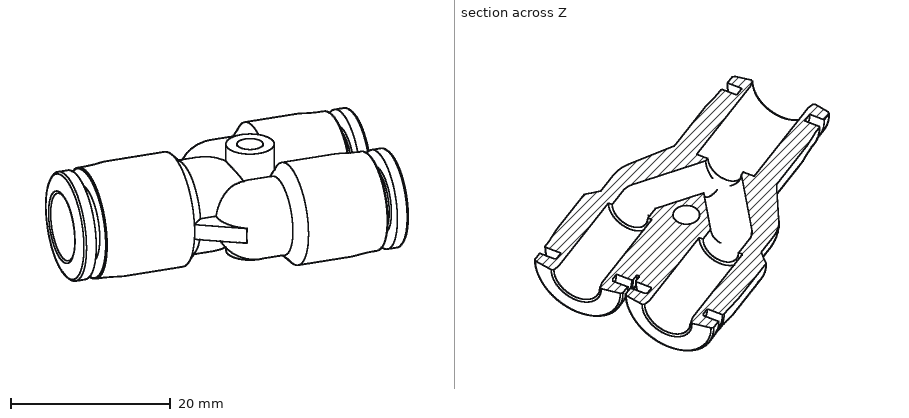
import cadquery as cq
import math

LENGTH = 42.05
HEIGHT = 14.6
OUTLET_OFFSET = 6.48

INLET_RADIUS = HEIGHT / 2
INLET_COLLAR_RADIUS = 7.05
INLET_COLLAR_START = 3.25
INLET_TAPER_START = 4.4
INLET_TAPER_END = 7.02
INLET_SHOULDER = 15.0
INLET_STEM_RADIUS = 5.97
INLET_DOME_CENTER = 19.25

OUTLET_RADIUS = 6.5
OUTLET_COLLAR_RADIUS = 6.3
OUTLET_COLLAR_START = 38.85
OUTLET_TAPER_START = 37.75
OUTLET_TAPER_END = 35.32
OUTLET_SHOULDER = 28.1
OUTLET_STEM_RADIUS = 5.0
OUTLET_DOME_CENTER = 23.3

COLLAR_CHAMFER = 0.147

FLANGE_BACK = 1.98
FLANGE_CROWN = 0.4
FLANGE_CHAMFER = 0.25
INLET_FLANGE_RADIUS = 6.95
INLET_NECK_RADIUS = 4.88
OUTLET_FLANGE_RADIUS = 6.3
OUTLET_NECK_RADIUS = 4.0
OUTLET_NECK_CHAMFER = 0.2

INLET_BORE_RADIUS = 4.08
OUTLET_BORE_RADIUS = 3.05
MOUTH_WIDENING = 0.5
MOUTH_LEAD_WIDENING = 0.2
MOUTH_CHAMFER_DEPTH = 0.15
MOUTH_LEAD_DEPTH = 1.0
PASSAGE_RADIUS = 2.52
PASSAGE_FORK = 16.4

BOSS_CENTER = 25.25
BOSS_RADIUS = 3.03
BOSS_HOLE_RADIUS = 1.65
RIB_THICKNESS = 2.0
WEB_WIDTH = 1.7


def revolve_about_y(profile):
    """Full turn of an XY outline about the Y axis."""
    return profile.close().revolve(360, (0, 0, 0), (0, 1, 0))


def to_outlet(shape, side):
    """Turn a shape built from a mouth at Y = 0 so its mouth is an outlet mouth."""
    return shape.rotate((0, 0, 0), (0, 0, 1), 180).translate((side * OUTLET_OFFSET, LENGTH, 0))


def ball(radius, center):
    """Sphere about a point."""
    return cq.Workplane("XY").sphere(radius).translate(center)


def cylinder_between(start, end, radius):
    """Round bar with its axis running from start to end."""
    axis = cq.Vector(*end) - cq.Vector(*start)
    return cq.Workplane(cq.Solid.makeCylinder(radius, axis.Length, cq.Vector(*start), axis))


def release_ring(flange_radius, neck_radius, bore_radius, neck_end, neck_chamfer=0):
    """Crowned flange on a neck; the mouth is at Y = 0."""
    lip_radius = bore_radius + MOUTH_WIDENING
    profile = (
        cq.Workplane("XY")
        .moveTo(0, 0)
        .lineTo(lip_radius, 0)
        .lineTo(flange_radius - FLANGE_CHAMFER, FLANGE_CROWN)
        .lineTo(flange_radius, FLANGE_CROWN + FLANGE_CHAMFER)
        .lineTo(flange_radius, FLANGE_BACK)
        .lineTo(neck_radius + neck_chamfer, FLANGE_BACK)
    )
    if neck_chamfer:
        profile = profile.lineTo(neck_radius, FLANGE_BACK + neck_chamfer)
    profile = profile.lineTo(neck_radius, neck_end).lineTo(0, neck_end)
    return revolve_about_y(profile)


def socket(bore_radius, depth):
    """Tube bore with a chamfered mouth and a slight lead-in taper; the mouth is at Y = 0."""
    profile = (
        cq.Workplane("XY")
        .moveTo(0, 0)
        .lineTo(bore_radius + MOUTH_WIDENING, 0)
        .lineTo(bore_radius + MOUTH_LEAD_WIDENING, MOUTH_CHAMFER_DEPTH)
        .lineTo(bore_radius, MOUTH_LEAD_DEPTH)
        .lineTo(bore_radius, depth)
        .lineTo(0, depth)
    )
    return revolve_about_y(profile)


def inlet_body():
    """Inlet barrel with a narrowed collar end and a domed stem."""
    shoulder_end = INLET_SHOULDER + INLET_RADIUS - INLET_STEM_RADIUS
    profile = (
        cq.Workplane("XY")
        .moveTo(0, INLET_COLLAR_START)
        .lineTo(INLET_COLLAR_RADIUS - COLLAR_CHAMFER, INLET_COLLAR_START)
        .lineTo(INLET_COLLAR_RADIUS, INLET_COLLAR_START + COLLAR_CHAMFER)
        .lineTo(INLET_COLLAR_RADIUS, INLET_TAPER_START)
        .lineTo(INLET_RADIUS, INLET_TAPER_END)
        .lineTo(INLET_RADIUS, INLET_SHOULDER)
        .lineTo(INLET_STEM_RADIUS, shoulder_end)
        .lineTo(INLET_STEM_RADIUS, INLET_DOME_CENTER)
        .radiusArc((0, INLET_DOME_CENTER + INLET_STEM_RADIUS), -INLET_STEM_RADIUS)
    )
    return revolve_about_y(profile)


def outlet_body(side):
    """Outlet barrel with a narrowed collar end and a domed stem."""
    shoulder_end = OUTLET_SHOULDER - (OUTLET_RADIUS - OUTLET_STEM_RADIUS)
    profile = (
        cq.Workplane("XY")
        .moveTo(0, OUTLET_DOME_CENTER - OUTLET_STEM_RADIUS)
        .radiusArc((OUTLET_STEM_RADIUS, OUTLET_DOME_CENTER), -OUTLET_STEM_RADIUS)
        .lineTo(OUTLET_STEM_RADIUS, shoulder_end)
        .lineTo(OUTLET_RADIUS, OUTLET_SHOULDER)
        .lineTo(OUTLET_RADIUS, OUTLET_TAPER_END)
        .lineTo(OUTLET_COLLAR_RADIUS, OUTLET_TAPER_START)
        .lineTo(OUTLET_COLLAR_RADIUS, OUTLET_COLLAR_START - COLLAR_CHAMFER)
        .lineTo(OUTLET_COLLAR_RADIUS - COLLAR_CHAMFER, OUTLET_COLLAR_START)
        .lineTo(0, OUTLET_COLLAR_START)
    )
    return revolve_about_y(profile).translate((side * OUTLET_OFFSET, 0, 0))


def rib(side):
    """Flat rib from the inlet shoulder to where its edge is tangent to the outlet dome."""
    run_x = OUTLET_OFFSET - INLET_RADIUS
    run_y = OUTLET_DOME_CENTER - INLET_SHOULDER
    distance = math.hypot(run_x, run_y)
    tangent_length = math.sqrt(distance**2 - OUTLET_STEM_RADIUS**2)
    angle = math.atan2(run_y, run_x) - math.asin(OUTLET_STEM_RADIUS / distance)
    tangent_x = INLET_RADIUS + tangent_length * math.cos(angle)
    tangent_y = INLET_SHOULDER + tangent_length * math.sin(angle)
    return (
        cq.Workplane("XY")
        .moveTo(0, INLET_SHOULDER)
        .lineTo(side * INLET_RADIUS, INLET_SHOULDER)
        .lineTo(side * tangent_x, tangent_y)
        .lineTo(side * OUTLET_OFFSET, OUTLET_DOME_CENTER)
        .lineTo(0, INLET_DOME_CENTER)
        .close()
        .extrude(RIB_THICKNESS / 2, both=True)
    )


def outlet_web():
    """Thin plate joining the two outlet barrels."""
    web_length = OUTLET_TAPER_START - BOSS_CENTER
    web = cq.Workplane("XY").box(WEB_WIDTH, web_length, RIB_THICKNESS)
    return web.translate((0, BOSS_CENTER + web_length / 2, 0))


def boss_cylinder(radius):
    """Upright cylinder on the boss axis, through the full height."""
    return cq.Workplane("XY").center(0, BOSS_CENTER).circle(radius).extrude(HEIGHT / 2, both=True)


def branch_passage(side):
    """Slanted passage from the fork to the outlet socket, rounded where it bends."""
    fork = (0, PASSAGE_FORK, 0)
    bend = (side * OUTLET_OFFSET, BOSS_CENTER, 0)
    outlet_seat = (side * OUTLET_OFFSET, OUTLET_SHOULDER, 0)
    passage = cylinder_between(fork, bend, PASSAGE_RADIUS)
    passage = passage.union(ball(PASSAGE_RADIUS, bend))
    return passage.union(cylinder_between(bend, outlet_seat, PASSAGE_RADIUS))


result = inlet_body().union(
    release_ring(INLET_FLANGE_RADIUS, INLET_NECK_RADIUS, INLET_BORE_RADIUS, INLET_COLLAR_START)
)
for side in (-1, 1):
    outlet_ring = release_ring(
        OUTLET_FLANGE_RADIUS,
        OUTLET_NECK_RADIUS,
        OUTLET_BORE_RADIUS,
        LENGTH - OUTLET_COLLAR_START,
        OUTLET_NECK_CHAMFER,
    )
    result = result.union(outlet_body(side)).union(to_outlet(outlet_ring, side)).union(rib(side))
result = result.union(outlet_web()).union(boss_cylinder(BOSS_RADIUS))

result = result.cut(socket(INLET_BORE_RADIUS, INLET_SHOULDER))
result = result.cut(cylinder_between((0, INLET_SHOULDER, 0), (0, PASSAGE_FORK, 0), PASSAGE_RADIUS))
for side in (-1, 1):
    result = result.cut(to_outlet(socket(OUTLET_BORE_RADIUS, LENGTH - OUTLET_SHOULDER), side))
    result = result.cut(branch_passage(side))
result = result.cut(boss_cylinder(BOSS_HOLE_RADIUS))